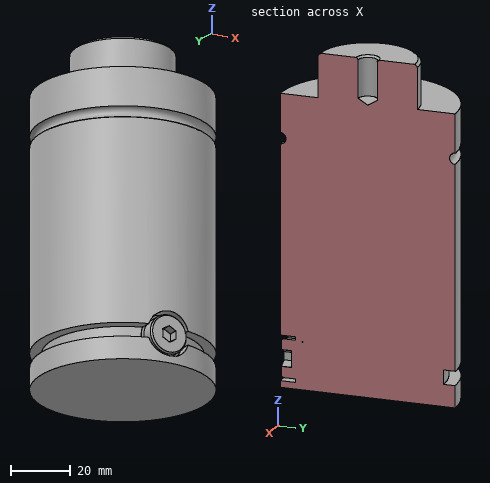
import cadquery as cq
import math

total_height = 120.7
body_diameter = 63.0
body_height = 104.8
body_radius = body_diameter / 2

rod_diameter = 36.0
rod_chamfer = 1.0

hole_diameter = 6.8
hole_depth = 14.5
hole_chamfer = 0.7
drill_tip_angle = 118.0

base_groove_bottom = 8.1
base_groove_width = 5.0
base_groove_diameter = 54.8

round_groove_radius = 1.9
round_groove_height = 88.7

plug_height = base_groove_bottom + base_groove_width / 2
recess_diameter = 16.0
recess_floor = 26.1
plug_diameter = 14.0
plug_face = 31.1
plug_chamfer_depth = 0.7
plug_chamfer_width = 0.5
hex_width = 5.1
plug_root = 24.1
hex_depth = 3.6


def cylinder(diameter, bottom, top):
    return cq.Workplane("XY").workplane(offset=bottom).circle(diameter / 2).extrude(top - bottom)


def plug_plane(distance):
    """Plane facing -Y, centred on the plug axis at a distance from the body axis."""
    return cq.Workplane("XZ", origin=(0, -distance, plug_height))


def make_body():
    rod = cylinder(rod_diameter, 0, total_height).faces(">Z").chamfer(rod_chamfer)
    return cylinder(body_diameter, 0, body_height).union(rod)


def base_groove():
    top = base_groove_bottom + base_groove_width
    outer = cylinder(body_diameter, base_groove_bottom, top)
    return outer.cut(cylinder(base_groove_diameter, base_groove_bottom, top))


def round_groove():
    """Ring of round section, centred on the body surface."""
    section = cq.Workplane("XZ").center(body_radius, round_groove_height).circle(round_groove_radius)
    return section.revolve(360, (-body_radius, 0, 0), (-body_radius, 1, 0))


def rod_hole():
    """Blind drilled hole with a conical tip and a chamfered mouth."""
    radius = hole_diameter / 2
    tip_length = radius / math.tan(math.radians(drill_tip_angle / 2))
    profile = (
        cq.Workplane("XZ")
        .moveTo(0, total_height)
        .lineTo(radius + hole_chamfer, total_height)
        .lineTo(radius, total_height - hole_chamfer)
        .lineTo(radius, total_height - hole_depth)
        .lineTo(0, total_height - hole_depth - tip_length)
        .close()
    )
    return profile.revolve(360, (0, 0, 0), (0, 1, 0))


def plug_recess():
    return plug_plane(recess_floor).circle(recess_diameter / 2).extrude(body_radius - recess_floor)


def plug():
    """Round plug with a chamfered face and a hexagon socket, corners up and down."""
    solid = plug_plane(plug_root).circle(plug_diameter / 2).extrude(plug_face - plug_root)
    solid = solid.faces("<Y").chamfer(plug_chamfer_depth, plug_chamfer_width)
    corner_diameter = hex_width / math.cos(math.pi / 6)
    socket = (
        plug_plane(plug_face - hex_depth)
        .transformed(rotate=(0, 0, 90))
        .polygon(6, corner_diameter)
        .extrude(hex_depth)
    )
    return solid.cut(socket)


result = (
    make_body()
    .cut(base_groove())
    .cut(round_groove())
    .cut(rod_hole())
    .cut(plug_recess())
    .union(plug())
)